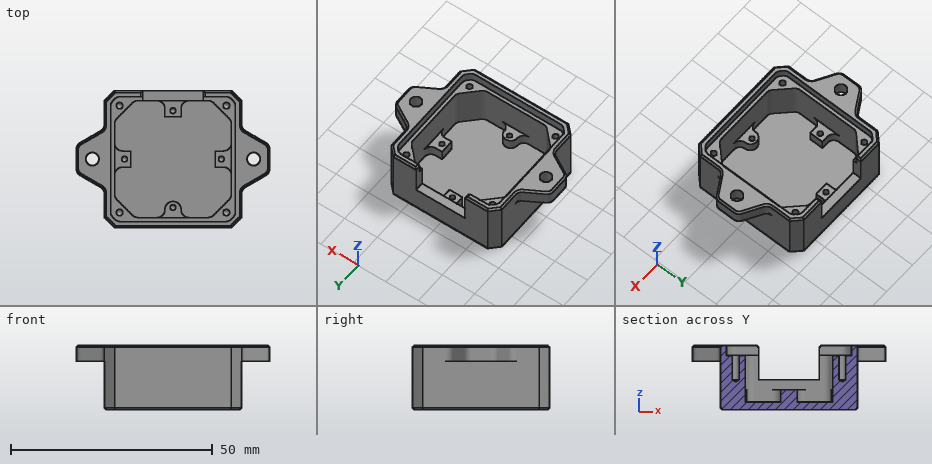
import cadquery as cq
import math

BODY_SIDE = 34.0
BODY_HEIGHT = 16.0
BODY_CORNER = 2.5
EDGE_CHAMFER = 0.5

EAR_SPAN = 48.0
EAR_THICKNESS = 4.0
EAR_TIP_HALF_WIDTH = 3.5
EAR_FLARE_ANGLE = 30.0
EAR_FILLET = 2.0
EAR_HOLE_DIAMETER = 3.2
EAR_HOLE_TO_TIP = 4.0

FLOOR_THICKNESS = 2.0
CAVITY_SIDE = 29.0
CAVITY_CORNER = 5.0
CAVITY_FILLET = 2.0
RECESS_SIDE = 31.0
RECESS_DEPTH = 2.5
RECESS_FILLET = 2.0

NOTCH_WIDTH = 15.0
NOTCH_SILL_HEIGHT = 7.5

STANDOFF_HEIGHT = 3.0
STANDOFF_LENGTH = 4.0
STANDOFF_WIDTH = 4.0
STANDOFF_FILLET = 2.0
STANDOFF_HOLE_DIAMETER = 1.4
STANDOFF_HOLE_DEPTH = 2.5
STANDOFF_HOLE_OFFSET = 12.0

LID_HOLE_DIAMETER = 1.6
LID_HOLE_DEPTH = 6.0
LID_HOLE_OFFSET = 13.25

DRILL_POINT_ANGLE = 118.0

BODY_HALF = BODY_SIDE / 2
CAVITY_HALF = CAVITY_SIDE / 2
RECESS_FLOOR = BODY_HEIGHT - RECESS_DEPTH
STANDOFF_TOP = FLOOR_THICKNESS + STANDOFF_HEIGHT
WALL_THICKNESS = BODY_HALF - CAVITY_HALF
WALL_OVERLAP = WALL_THICKNESS / 2
RIM_WIDTH = (BODY_SIDE - RECESS_SIDE) / 2
RECESS_CORNER = BODY_CORNER - RIM_WIDTH * (2 - math.sqrt(2))


def cut_corner_square(side, corner, bottom, top):
    """Square prism with its vertical corners cut at 45 degrees."""
    block = cq.Workplane("XY").workplane(offset=bottom).rect(side, side).extrude(top - bottom)
    return block.edges("|Z").chamfer(corner)


def drilled_hole(x, y, top, diameter, depth):
    """Blind hole with a conical drill point, opening upward."""
    radius = diameter / 2
    point_depth = radius / math.tan(math.radians(DRILL_POINT_ANGLE / 2))
    profile = [(0, 0), (radius, 0), (radius, -depth), (0, -depth - point_depth)]
    drill = cq.Workplane("XZ").polyline(profile).close().revolve(360, (0, 0), (0, 1))
    return drill.translate((x, y, top))


def ears():
    """Both ears as one plate passing across the body, with rounded tips and roots."""
    tip_x = EAR_SPAN / 2
    flare = (tip_x - BODY_HALF) * math.tan(math.radians(EAR_FLARE_ANGLE))
    root_y = EAR_TIP_HALF_WIDTH + flare
    neck_y = BODY_HALF - BODY_CORNER
    quarter = [(BODY_HALF, neck_y), (BODY_HALF, root_y), (tip_x, EAR_TIP_HALF_WIDTH)]
    right_side = quarter + [(x, -y) for x, y in reversed(quarter)]
    left_side = [(-x, -y) for x, y in right_side]
    plate = (
        cq.Workplane("XY")
        .workplane(offset=BODY_HEIGHT - EAR_THICKNESS)
        .polyline(right_side + left_side)
        .close()
        .extrude(EAR_THICKNESS)
    )
    plate = plate.edges("|Z").edges("<X or >X").fillet(EAR_FILLET)
    for y in (root_y, -root_y):
        for x in (BODY_HALF, -BODY_HALF):
            root = cq.selectors.NearestToPointSelector((x, y, BODY_HEIGHT - EAR_THICKNESS / 2))
            plate = plate.edges("|Z").edges(root).fillet(EAR_FILLET)
    return plate


def outer_shell():
    body = cut_corner_square(BODY_SIDE, BODY_CORNER, 0, BODY_HEIGHT)
    shell = body.union(ears()).clean()
    shell = shell.faces("<Z").edges().chamfer(EDGE_CHAMFER)
    shell = shell.faces(">Z").edges().chamfer(EDGE_CHAMFER)
    hole_x = EAR_SPAN / 2 - EAR_HOLE_TO_TIP
    ear_holes = (
        cq.Workplane("XY")
        .pushPoints([(hole_x, 0), (-hole_x, 0)])
        .circle(EAR_HOLE_DIAMETER / 2)
        .extrude(BODY_HEIGHT)
    )
    return shell.cut(ear_holes)


def cavity():
    pocket = cut_corner_square(CAVITY_SIDE, CAVITY_CORNER, FLOOR_THICKNESS, BODY_HEIGHT)
    return pocket.edges("|Z").fillet(CAVITY_FILLET)


def lid_recess():
    recess = cut_corner_square(RECESS_SIDE, RECESS_CORNER, RECESS_FLOOR, BODY_HEIGHT)
    return recess.edges("|Z").fillet(RECESS_FILLET)


def wall_notch():
    """Opening through the +Y wall, flared at the rim to match the edge chamfer."""
    half = NOTCH_WIDTH / 2
    half_profile = [
        (half, NOTCH_SILL_HEIGHT),
        (half, BODY_HEIGHT - EDGE_CHAMFER),
        (half + EDGE_CHAMFER, BODY_HEIGHT),
    ]
    mirrored = [(-x, z) for x, z in reversed(half_profile)]
    return cq.Workplane("XZ").polyline(half_profile + mirrored).close().extrude(-BODY_HALF)


def standoff(angle, round_end):
    """Standoff against the -Y cavity wall, turned about Z by the given angle."""
    half = STANDOFF_WIDTH / 2
    wall_y = -CAVITY_HALF
    back_y = wall_y - WALL_OVERLAP
    end_y = wall_y + STANDOFF_LENGTH
    blend_y = wall_y + STANDOFF_FILLET
    foot_x = half + STANDOFF_FILLET
    blend_mid = STANDOFF_FILLET * (1 - math.sqrt(0.5))
    outline = (
        cq.Workplane("XY")
        .workplane(offset=FLOOR_THICKNESS)
        .moveTo(-foot_x, back_y)
        .lineTo(foot_x, back_y)
        .lineTo(foot_x, wall_y)
        .threePointArc((half + blend_mid, wall_y + blend_mid), (half, blend_y))
    )
    if round_end:
        outline = outline.threePointArc((0, end_y), (-half, blend_y))
    else:
        outline = outline.lineTo(half, end_y).lineTo(-half, end_y).lineTo(-half, blend_y)
    outline = outline.threePointArc((-half - blend_mid, wall_y + blend_mid), (-foot_x, wall_y))
    post = outline.close().extrude(STANDOFF_HEIGHT)
    hole = drilled_hole(
        0, -STANDOFF_HOLE_OFFSET, STANDOFF_TOP, STANDOFF_HOLE_DIAMETER, STANDOFF_HOLE_DEPTH
    )
    return post.cut(hole).rotate((0, 0, 0), (0, 0, 1), angle)


part = outer_shell().cut(cavity()).cut(lid_recess()).cut(wall_notch())

for turn in (0, 90, 180, 270):
    part = part.union(standoff(turn, round_end=(turn == 0)))

for x in (LID_HOLE_OFFSET, -LID_HOLE_OFFSET):
    for y in (LID_HOLE_OFFSET, -LID_HOLE_OFFSET):
        part = part.cut(drilled_hole(x, y, RECESS_FLOOR, LID_HOLE_DIAMETER, LID_HOLE_DEPTH))

result = part